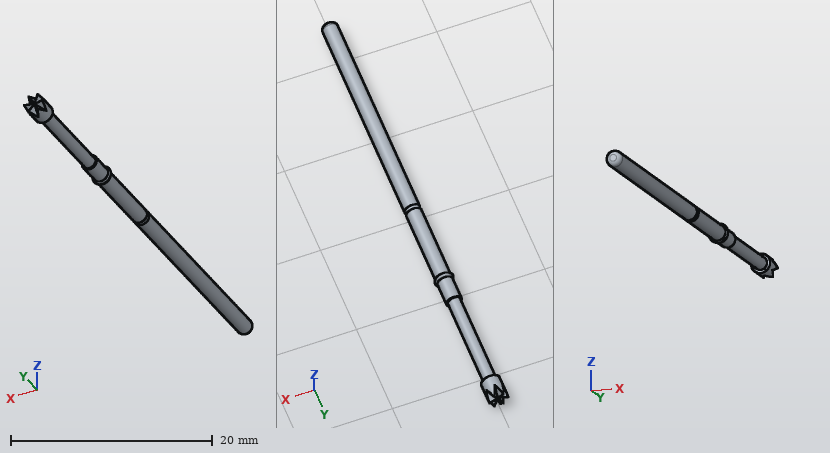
import cadquery as cq
import math

overall_length = 47.9

head_diameter = 2.0
head_length = 2.4
tooth_count = 6
needle_projection = 0.5
needle_base_radius = 0.16
notch_depth_rim = 1.25
notch_depth_center = 0.3

plunger_diameter = 1.36
plunger_length = 10.1
barrel_diameter = 1.66
tail_flat_diameter = 0.7

ring_diameter = 2.0
ring_width = 0.5
mouth_to_ring = 2.75
groove_width = 0.45
groove_depth = 0.12
ring_to_groove = 8.65

tooth_tip_y = overall_length - needle_projection
head_shoulder_y = tooth_tip_y - head_length
mouth_y = head_shoulder_y - plunger_length
ring_y = mouth_y - mouth_to_ring
groove_y = ring_y - ring_to_groove

head_radius = head_diameter / 2
notch_apex_y = tooth_tip_y - notch_depth_center


def cylinder(radius, start_y, end_y):
    """Solid cylinder on the Y axis."""
    return cq.Workplane("XZ", origin=(0, start_y, 0)).circle(radius).extrude(start_y - end_y)


def make_barrel():
    """Barrel with a rounded tail, a crimp groove and a rounded press ring."""
    radius = barrel_diameter / 2
    tail_flat_radius = tail_flat_diameter / 2
    tail_round = radius - tail_flat_radius
    round_middle = tail_round * math.sqrt(0.5)
    half_groove = groove_width / 2
    half_ring = ring_width / 2
    profile = (
        cq.Workplane("XY")
        .lineTo(tail_flat_radius, 0)
        .threePointArc(
            (tail_flat_radius + round_middle, tail_round - round_middle),
            (radius, tail_round),
        )
        .lineTo(radius, groove_y - half_groove)
        .threePointArc((radius - groove_depth, groove_y), (radius, groove_y + half_groove))
        .lineTo(radius, ring_y - half_ring)
        .threePointArc((ring_diameter / 2, ring_y), (radius, ring_y + half_ring))
        .lineTo(radius, mouth_y)
        .lineTo(0, mouth_y)
        .close()
    )
    return profile.revolve(360, (0, 0, 0), (0, 1, 0))


def make_notch_cutter():
    """V wedge whose floor slopes down from the axis towards +Z.

    The V is just wide enough for neighbouring notches to meet in a ridge
    that ends in a point on the rim at the tooth tip.
    """
    floor_drop = notch_depth_rim - notch_depth_center
    half_pitch = math.pi / tooth_count
    wall_rise = (notch_depth_center + floor_drop * math.cos(half_pitch)) / math.sin(half_pitch)
    wedge_height = 2 * head_diameter
    wedge_half_width = wedge_height / wall_rise
    reach = head_diameter
    slope = floor_drop / head_radius

    def section(z):
        floor_y = notch_apex_y - slope * z
        top_y = floor_y + wedge_height
        return cq.Wire.makePolygon(
            [
                cq.Vector(0, floor_y, z),
                cq.Vector(wedge_half_width, top_y, z),
                cq.Vector(-wedge_half_width, top_y, z),
            ],
            close=True,
        )

    return cq.Workplane(cq.Solid.makeLoft([section(-reach), section(reach)], True))


def make_head():
    """Crown head with a ring of teeth around a central needle."""
    head = cylinder(head_radius, head_shoulder_y, overall_length)
    cutter = make_notch_cutter()
    for index in range(tooth_count):
        angle = index * 360 / tooth_count
        head = head.cut(cutter.rotate((0, 0, 0), (0, 1, 0), angle))
    needle_root_y = tooth_tip_y - notch_depth_rim
    root_length = notch_apex_y - needle_root_y
    needle = (
        cq.Workplane("XY", origin=(0, needle_root_y, 0))
        .lineTo(needle_base_radius, 0)
        .lineTo(needle_base_radius, root_length)
        .lineTo(0, overall_length - needle_root_y)
        .close()
        .revolve(360, (0, 0, 0), (0, 1, 0))
    )
    return head.union(needle)


plunger = cylinder(plunger_diameter / 2, mouth_y, head_shoulder_y)
result = make_barrel().union(plunger).union(make_head())